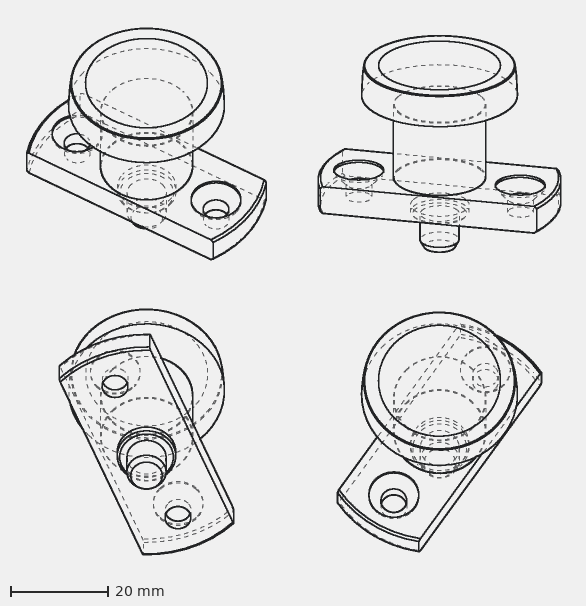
import cadquery as cq

plate_length = 49.85
plate_width = 20.05
plate_thickness = 6.0
plate_end_radius = plate_length / 2
plate_end_chamfer = 0.5

hole_offset = 17.0
hole_diameter = 5.3
countersink_diameter = 10.2
countersink_angle = 90.0
countersink_lip = 0.5

sleeve_diameter = 19.0
sleeve_top = 22.45
sleeve_edge_chamfer = 0.15

knob_diameter = 32.0
knob_rim_bottom = 24.3
knob_band_height = 0.4
knob_top_diameter = 31.1
knob_top = 31.05
knob_top_chamfer = 0.2
knob_side_bulge = 0.1
dome_diameter = 25.0
dome_height = 2.7

collar_diameter = 12.0
collar_length = 2.0
collar_chamfer = 0.5
pin_diameter = 8.0
pin_length = 9.95
pin_taper_start = 7.85
pin_tip_diameter = 6.5
pin_tip_height = 0.65


def make_plate():
    """Rectangular bar with both ends trimmed and chamfered by a concentric disc."""
    disc = (
        cq.Workplane("XY")
        .circle(plate_end_radius)
        .extrude(plate_thickness)
        .edges()
        .chamfer(plate_end_chamfer)
    )
    bar = cq.Workplane("XY").rect(plate_length, plate_width).extrude(plate_thickness)
    hole_centers = [(-hole_offset, 0), (hole_offset, 0)]
    lip_floor = plate_thickness - countersink_lip
    recesses = (
        cq.Workplane("XY", origin=(0, 0, lip_floor))
        .pushPoints(hole_centers)
        .circle(countersink_diameter / 2)
        .extrude(countersink_lip)
    )
    return (
        bar.intersect(disc)
        .cut(recesses)
        .copyWorkplane(cq.Workplane("XY", origin=(0, 0, lip_floor)))
        .pushPoints(hole_centers)
        .cskHole(hole_diameter, countersink_diameter, countersink_angle)
    )


def make_sleeve():
    """Plain cylinder with slightly broken edges."""
    return (
        cq.Workplane("XY", origin=(0, 0, plate_thickness))
        .circle(sleeve_diameter / 2)
        .extrude(sleeve_top - plate_thickness)
        .edges()
        .chamfer(sleeve_edge_chamfer)
    )


def make_knob():
    """Revolved head: conical underside, bulged tapering side and shallow dome."""
    rim_radius = knob_diameter / 2
    top_radius = knob_top_diameter / 2
    dome_radius = dome_diameter / 2
    side_bottom = knob_rim_bottom + knob_band_height
    side_top = knob_top - knob_top_chamfer
    side_middle = ((rim_radius + top_radius) / 2 + knob_side_bulge, (side_bottom + side_top) / 2)
    sphere_radius = (dome_radius**2 + dome_height**2) / (2 * dome_height)
    sphere_center = knob_top + dome_height - sphere_radius
    arc_x = dome_radius / 2
    arc_z = sphere_center + (sphere_radius**2 - arc_x**2) ** 0.5
    return (
        cq.Workplane("XZ")
        .moveTo(0, sleeve_top)
        .lineTo(sleeve_diameter / 2, sleeve_top)
        .lineTo(rim_radius, knob_rim_bottom)
        .lineTo(rim_radius, side_bottom)
        .threePointArc(side_middle, (top_radius, side_top))
        .lineTo(top_radius - knob_top_chamfer, knob_top)
        .lineTo(dome_radius, knob_top)
        .threePointArc((arc_x, arc_z), (0, knob_top + dome_height))
        .close()
        .revolve(360, (0, 0), (0, 1))
    )


def make_collar():
    """Short cylinder under the plate with a chamfered lower edge."""
    return (
        cq.Workplane("XY")
        .circle(collar_diameter / 2)
        .extrude(-collar_length)
        .faces("<Z")
        .edges()
        .chamfer(collar_chamfer)
    )


def make_pin():
    """Revolved pin with a tapered nose and a spherical tip."""
    tip_radius = pin_tip_diameter / 2
    tip_edge = pin_tip_height - pin_length
    sphere_radius = (tip_radius**2 + pin_tip_height**2) / (2 * pin_tip_height)
    arc_x = tip_radius / 2
    arc_z = sphere_radius - pin_length - (sphere_radius**2 - arc_x**2) ** 0.5
    return (
        cq.Workplane("XZ")
        .lineTo(pin_diameter / 2, 0)
        .lineTo(pin_diameter / 2, -pin_taper_start)
        .lineTo(tip_radius, tip_edge)
        .threePointArc((arc_x, arc_z), (0, -pin_length))
        .close()
        .revolve(360, (0, 0), (0, 1))
    )


result = make_plate().union(make_sleeve()).union(make_knob()).union(make_collar()).union(make_pin())